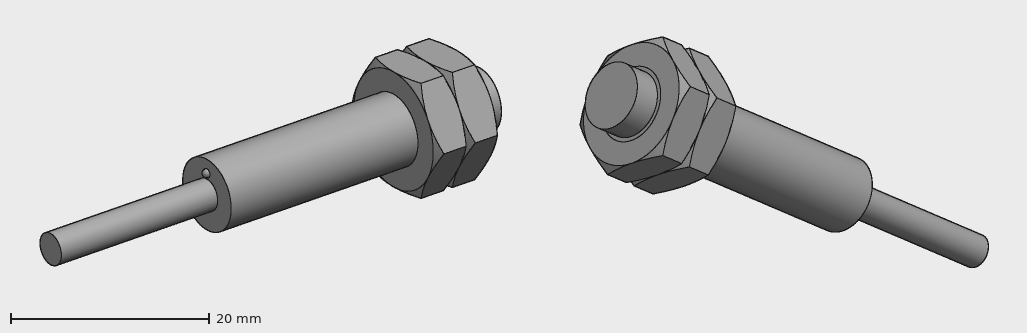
import cadquery as cq
import math

total_length = 55.0
cable_length = 20.0
tip_length = 3.0
nut_thickness = 4.0
nut_count = 2

cable_diameter = 3.5
barrel_diameter = 8.0
tip_diameter = 7.1
nut_across_flats = 13.0
nut_chamfer_angle = 30.0

lamp_radius = 0.5
lamp_height = 2.4

barrel_start = cable_length
barrel_end = total_length - tip_length
nuts_start = barrel_end - nut_count * nut_thickness

nut_across_corners = nut_across_flats / math.cos(math.radians(30))


def cylinder(diameter, start, end):
    """Solid cylinder on the Y axis between two positions."""
    plane = cq.Plane(origin=(0, start, 0), xDir=(1, 0, 0), normal=(0, 1, 0))
    return cq.Workplane(plane).circle(diameter / 2).extrude(end - start)


def make_sensor():
    """Cable, barrel, sensing tip and indicator lamp as one solid."""
    cable = cylinder(cable_diameter, 0, barrel_start)
    barrel = cylinder(barrel_diameter, barrel_start, barrel_end)
    tip = cylinder(tip_diameter, barrel_end, total_length)
    lamp = cq.Workplane("XY").sphere(lamp_radius).translate((0, barrel_start, lamp_height))
    return cable.union(barrel).union(tip).union(lamp)


def make_nut(start):
    """Hexagon nut with corners chamfered on both faces, bored to fit the barrel."""
    end = start + nut_thickness
    plane = cq.Plane(origin=(0, start, 0), xDir=(1, 0, 0), normal=(0, 1, 0))
    hexagon = cq.Workplane(plane).polygon(6, nut_across_corners).extrude(nut_thickness)

    face_radius = nut_across_flats / 2
    corner_radius = nut_across_corners / 2
    chamfer_height = (corner_radius - face_radius) * math.tan(math.radians(nut_chamfer_angle))
    envelope = (
        cq.Workplane("XY")
        .moveTo(0, start)
        .lineTo(face_radius, start)
        .lineTo(corner_radius, start + chamfer_height)
        .lineTo(corner_radius, end - chamfer_height)
        .lineTo(face_radius, end)
        .lineTo(0, end)
        .close()
        .revolve(360, (0, 0, 0), (0, 1, 0))
    )
    return hexagon.intersect(envelope).cut(cylinder(barrel_diameter, start, end))


sensor = make_sensor()
nuts = [make_nut(nuts_start + index * nut_thickness) for index in range(nut_count)]

result = cq.Compound.makeCompound([sensor.val(), *[nut.val() for nut in nuts]])